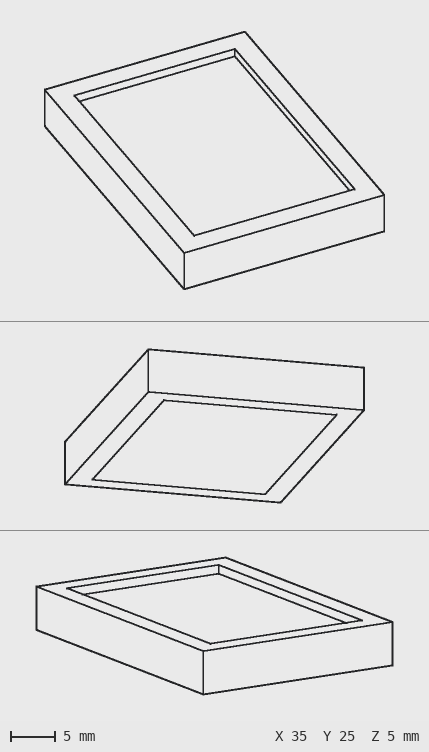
import cadquery as cq

length = 35.0
width = 25.0
height = 5.0
border = 2.5
panel_recess = 1.0

window_length = length - 2 * border
window_width = width - 2 * border
panel_thickness = height - panel_recess


def block(x_size, y_size, z_size):
    """Rectangular block centred on the Z axis, standing on the base plane."""
    return cq.Workplane("XY").box(x_size, y_size, z_size, centered=(True, True, False))


def make_frame():
    """Rectangular frame with a window through its full height."""
    window = block(window_length, window_width, height)
    return block(length, width, height).cut(window)


def make_panel():
    """Flat panel that fills the window, flush with the base and below the rim."""
    return block(window_length, window_width, panel_thickness)


frame = make_frame()
panel = make_panel()

result = cq.Compound.makeCompound([frame.val(), panel.val()])